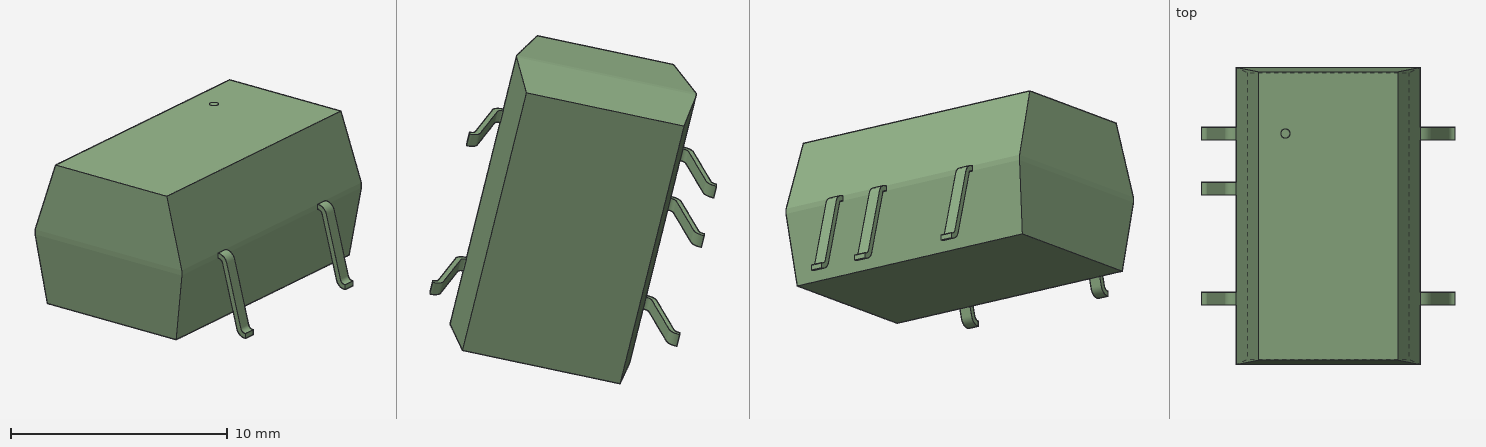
import cadquery as cq
import math

lead_span = 11.7
height = 7.25

band_width = 8.5
band_length = 13.72
top_width = 6.45
top_length = 13.31
base_width = 7.46
base_length = 13.23
base_z = 0.22
band_top_z = 3.85

lead_thickness = 0.25
lead_width = 0.6
bend_radius = 0.37
bend_angle = math.radians(75)
pitch = 2.54
outer_lead_y = 1.5 * pitch
left_lead_places = [outer_lead_y, outer_lead_y - pitch, -outer_lead_y]
right_lead_places = [outer_lead_y, -outer_lead_y]

marker_diameter = 0.43
marker_depth = 0.1
marker_x = -1.98
marker_y = outer_lead_y

band_bottom_z = band_top_z - lead_thickness


def tapered_block(lower_width, lower_length, lower_z, upper_width, upper_length, upper_z):
    """Block lofted between two centred rectangles."""
    return (
        cq.Workplane("XY", origin=(0, 0, lower_z))
        .rect(lower_width, lower_length)
        .workplane(offset=upper_z - lower_z)
        .rect(upper_width, upper_length)
        .loft(ruled=True)
    )


def make_marker():
    return (
        cq.Workplane("XY", origin=(marker_x, marker_y, height - marker_depth))
        .circle(marker_diameter / 2)
        .extrude(marker_depth)
    )


def make_housing():
    lower = tapered_block(base_width, base_length, base_z, band_width, band_length, band_bottom_z)
    band = cq.Workplane("XY", origin=(0, 0, band_bottom_z)).box(
        band_width, band_length, lead_thickness, centered=(True, True, False)
    )
    upper = tapered_block(band_width, band_length, band_top_z, top_width, top_length, height)
    return lower.union(band).union(upper).cut(make_marker())


def point_on_arc(center, radius, angle):
    return (center[0] + radius * math.cos(angle), center[1] + radius * math.sin(angle))


def make_right_lead(y):
    """Lead on the +X side, bent from the band out and down to the foot."""
    start_x = band_width / 2
    end_x = lead_span / 2
    outer_radius = bend_radius + lead_thickness / 2
    inner_radius = bend_radius - lead_thickness / 2

    shoulder_z = band_top_z - outer_radius
    foot_z = outer_radius
    leg_drop = shoulder_z - foot_z + 2 * bend_radius * math.cos(bend_angle)
    leg_run = leg_drop / math.tan(bend_angle)
    bends_run = 2 * bend_radius * math.sin(bend_angle)
    flat = (end_x - start_x - bends_run - leg_run) / 2
    shoulder = (start_x + flat, shoulder_z)
    foot = (end_x - flat, foot_z)

    upward = math.pi / 2
    leg_normal = upward - bend_angle
    shoulder_middle = upward - bend_angle / 2
    downward = upward + math.pi
    foot_normal = leg_normal + math.pi
    foot_middle = shoulder_middle + math.pi

    profile = (
        cq.Workplane("XZ", origin=(0, y + lead_width / 2, 0))
        .moveTo(start_x, band_top_z)
        .lineTo(shoulder[0], band_top_z)
        .threePointArc(
            point_on_arc(shoulder, outer_radius, shoulder_middle),
            point_on_arc(shoulder, outer_radius, leg_normal),
        )
        .lineTo(*point_on_arc(foot, inner_radius, foot_normal))
        .threePointArc(
            point_on_arc(foot, inner_radius, foot_middle),
            point_on_arc(foot, inner_radius, downward),
        )
        .lineTo(end_x, lead_thickness)
        .lineTo(end_x, 0)
        .lineTo(foot[0], 0)
        .threePointArc(
            point_on_arc(foot, outer_radius, foot_middle),
            point_on_arc(foot, outer_radius, foot_normal),
        )
        .lineTo(*point_on_arc(shoulder, inner_radius, leg_normal))
        .threePointArc(
            point_on_arc(shoulder, inner_radius, shoulder_middle),
            point_on_arc(shoulder, inner_radius, upward),
        )
        .lineTo(start_x, band_bottom_z)
        .close()
    )
    return profile.extrude(lead_width)


def make_left_lead(y):
    return make_right_lead(y).mirror("YZ")


housing = make_housing()
marker = make_marker()
leads = [make_left_lead(y).val() for y in left_lead_places]
leads += [make_right_lead(y).val() for y in right_lead_places]

result = cq.Compound.makeCompound([housing.val(), marker.val(), *leads])